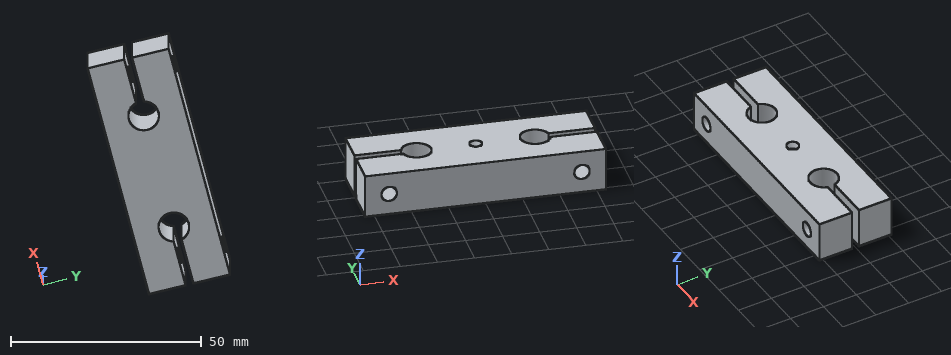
import cadquery as cq
import math

length = 65.0
width = 22.0
height = 12.0

bore_diameter = 8.0
bore_spacing = 32.0
slit_width = 2.1

screw_hole_diameter = 4.15
screw_hole_spacing = 52.0

countersink_diameter = 3.4
countersink_angle = 60.0
pilot_diameter = 1.6
pilot_length = 2.0
drill_point_angle = 118.0


def make_block():
    return cq.Workplane("XY").box(length, width, height)


def make_rod_bores():
    return (
        cq.Workplane("XY")
        .pushPoints([(-bore_spacing / 2, 0), (bore_spacing / 2, 0)])
        .circle(bore_diameter / 2)
        .extrude(height / 2, both=True)
    )


def make_slit(side):
    """Slit from a bore axis to the end face on the given side (-1 or 1)."""
    slit_length = (length - bore_spacing) / 2
    slit_center = side * (length + bore_spacing) / 4
    return cq.Workplane("XY").box(slit_length, slit_width, height).translate((slit_center, 0, 0))


def make_screw_holes():
    return (
        cq.Workplane("XZ")
        .pushPoints([(-screw_hole_spacing / 2, 0), (screw_hole_spacing / 2, 0)])
        .circle(screw_hole_diameter / 2)
        .extrude(width / 2, both=True)
    )


def cone_depth(radius_change, included_angle):
    """Axial depth over which a cone changes its radius by the given amount."""
    return radius_change / math.tan(math.radians(included_angle / 2))


def make_center_hole():
    """Countersink, pilot bore and conical drill point, revolved about Z."""
    mouth_radius = countersink_diameter / 2
    pilot_radius = pilot_diameter / 2
    top = height / 2
    pilot_top = top - cone_depth(mouth_radius - pilot_radius, countersink_angle)
    pilot_bottom = pilot_top - pilot_length
    tip = pilot_bottom - cone_depth(pilot_radius, drill_point_angle)
    return (
        cq.Workplane("XZ")
        .moveTo(0, top)
        .lineTo(mouth_radius, top)
        .lineTo(pilot_radius, pilot_top)
        .lineTo(pilot_radius, pilot_bottom)
        .lineTo(0, tip)
        .close()
        .revolve(360, (0, 0, 0), (0, 1, 0))
    )


result = make_block().cut(make_rod_bores())
for end_side in (-1, 1):
    result = result.cut(make_slit(end_side))
result = result.cut(make_screw_holes()).cut(make_center_hole())